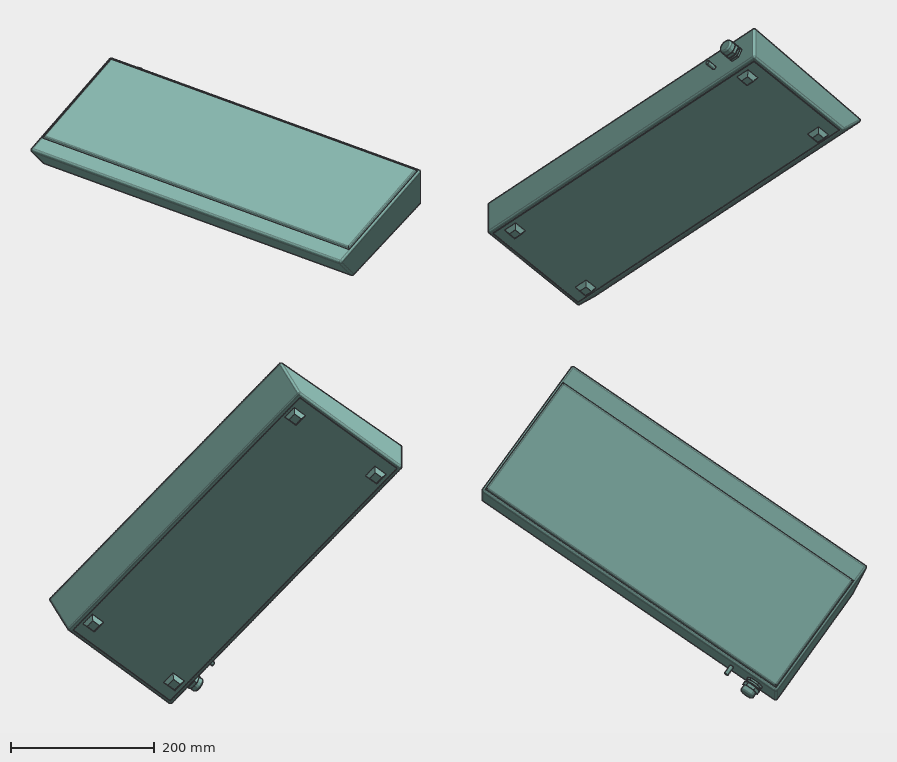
import cadquery as cq
import math

WIDTH = 501.5
DEPTH = 222.0
BOTTOM_Z = 9.5
TOP_SLOPE = 3.0
NOSE_SLOPE = 53.0
BACK_TOP_Z = 70.0
EDGE_RADIUS = 3.0

PLATE_HEIGHT = 3.25
PLATE_DRAFT = 25.0
PLATE_SIDE_INSET = 3.5
PLATE_BACK_INSET = 5.0
PLATE_FRONT_INSET = 28.0
PLATE_EDGE_RADIUS = 2.0

BASE_THICKNESS = 1.5
BASE_INSET = 5.5

FOOT_TOP_SIZE = 20.5
FOOT_BOTTOM_SIZE = 12.0
FOOT_SIDE_INSET = 32.5
FOOT_BACK_INSET = 21.5
FOOT_PITCH_Y = 147.0

FITTING_Z = 40.5
GLAND_X = -WIDTH / 2 + 35.5
NUT_SIDES = 6
NUT_FLATS = 21.5
LOCK_NUT_LENGTH = 3.0
NECK_DIAMETER = 20.0
NECK_LENGTH = 3.0
CAP_NUT_LENGTH = 6.5
CAP_NUT_CHAMFER = 1.5
DOME_DIAMETER = 20.5
GLAND_LENGTH = 21.5
DOME_EDGE_RADIUS = 2.5
PIN_X = -WIDTH / 2 + 75.0
PIN_DIAMETER = 6.0
PIN_LENGTH = 14.0

TOP_DROP = math.tan(math.radians(TOP_SLOPE))
FOOT_HEIGHT = BOTTOM_Z - BASE_THICKNESS
NOSE_HALF_ANGLE = math.radians(NOSE_SLOPE + TOP_SLOPE) / 2
NOSE_DIRECTION = math.radians(NOSE_SLOPE - TOP_SLOPE) / 2
NOSE_LOSS = EDGE_RADIUS * (math.cos(NOSE_DIRECTION) / math.sin(NOSE_HALF_ANGLE) - 1)


def top_z(y):
    """Height of the sloping housing top at depth y."""
    return BACK_TOP_Z - (DEPTH - y) * TOP_DROP


NOSE_Y = -NOSE_LOSS
BOTTOM_FRONT_Y = NOSE_Y + (top_z(NOSE_Y) - BOTTOM_Z) / math.tan(math.radians(NOSE_SLOPE))


def make_housing():
    outline = [
        (NOSE_Y, top_z(NOSE_Y)),
        (BOTTOM_FRONT_Y, BOTTOM_Z),
        (DEPTH, BOTTOM_Z),
        (DEPTH, BACK_TOP_Z),
    ]
    body = cq.Workplane("YZ").polyline(outline).close().extrude(WIDTH / 2, both=True)
    return body.edges().fillet(EDGE_RADIUS)


def make_plate():
    width = WIDTH - 2 * PLATE_SIDE_INSET
    length = (DEPTH - PLATE_BACK_INSET - PLATE_FRONT_INSET) / math.cos(math.radians(TOP_SLOPE))
    plate = (
        cq.Workplane("XY")
        .center(0, length / 2).rect(width, length)
        .extrude(PLATE_HEIGHT, taper=PLATE_DRAFT)
        .faces(">Z").edges().fillet(PLATE_EDGE_RADIUS)
        .rotate((0, 0, 0), (1, 0, 0), TOP_SLOPE)
    )
    return plate.translate((0, PLATE_FRONT_INSET, top_z(PLATE_FRONT_INSET)))


def make_base():
    length = DEPTH - BOTTOM_FRONT_Y - 2 * BASE_INSET
    return (
        cq.Workplane("XY")
        .box(WIDTH - 2 * BASE_INSET, length, BASE_THICKNESS, centered=(True, False, False))
        .translate((0, BOTTOM_FRONT_Y + BASE_INSET, FOOT_HEIGHT))
    )


def make_feet():
    x = WIDTH / 2 - FOOT_SIDE_INSET
    back = DEPTH - FOOT_BACK_INSET
    places = [(side * x, y) for side in (-1, 1) for y in (back, back - FOOT_PITCH_Y)]
    taper = math.degrees(math.atan((FOOT_TOP_SIZE - FOOT_BOTTOM_SIZE) / 2 / FOOT_HEIGHT))
    return (
        cq.Workplane("XY", origin=(0, 0, FOOT_HEIGHT))
        .pushPoints(places).rect(FOOT_TOP_SIZE, FOOT_TOP_SIZE)
        .extrude(-FOOT_HEIGHT, taper=taper)
    )


def back_plane(x, distance):
    """Plane parallel to the back face, facing outwards."""
    return cq.Workplane("XZ", origin=(x, DEPTH + distance, FITTING_Z))


def make_gland():
    nut_corners = NUT_FLATS / math.cos(math.pi / NUT_SIDES)
    cap_start = LOCK_NUT_LENGTH + NECK_LENGTH
    lock_nut = back_plane(GLAND_X, 0).polygon(NUT_SIDES, nut_corners).extrude(-LOCK_NUT_LENGTH)
    cap_nut = (
        back_plane(GLAND_X, cap_start).polygon(NUT_SIDES, nut_corners).extrude(-CAP_NUT_LENGTH)
        .faces("<Y").edges().chamfer(CAP_NUT_CHAMFER)
    )
    neck = back_plane(GLAND_X, 0).circle(NECK_DIAMETER / 2).extrude(-cap_start)
    dome = (
        back_plane(GLAND_X, cap_start).circle(DOME_DIAMETER / 2)
        .extrude(-(GLAND_LENGTH - cap_start))
        .faces(">Y").edges().fillet(DOME_EDGE_RADIUS)
    )
    return lock_nut.union(neck).union(cap_nut).union(dome)


def make_pin():
    return back_plane(PIN_X, 0).circle(PIN_DIAMETER / 2).extrude(-PIN_LENGTH)


result = make_housing()
for part in (make_plate(), make_base(), make_feet(), make_gland(), make_pin()):
    result = result.union(part)